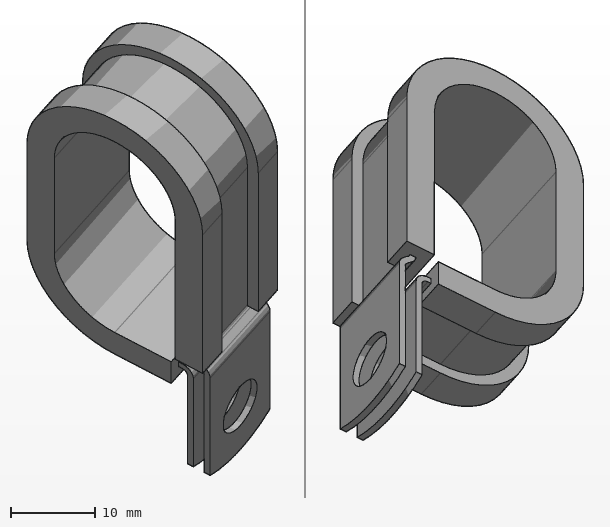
import cadquery as cq
import math

loop_width = 25.19
opening_width = 17.3
arc_center_spacing = 17.42
cushion_depth = 15.75
bottom_leg_setback = 4.5
right_leg_lift = 4.8

outer_radius = loop_width / 2
inner_radius = opening_width / 2
wall = outer_radius - inner_radius
right_x = outer_radius
top_arc_z = arc_center_spacing / 2
bottom_arc_z = -top_arc_z
loop_bottom_z = bottom_arc_z - outer_radius
bottom_leg_end_x = right_x - bottom_leg_setback
right_leg_end_z = loop_bottom_z + right_leg_lift

strap_thickness = 0.85
strap_width = 12.6
tab_drop = 16.71
tab_end_radius = 15.0
bend_inner_radius = 0.8
jog_angle = math.radians(45)
jog_embed = 0.2
hole_diameter = 7.1
hole_height = 7.95

groove_width = 7.6
groove_depth = (wall - strap_thickness) / 2
tab_gap = groove_depth
bend_outer_radius = bend_inner_radius + strap_thickness
strap_outer_radius = outer_radius - groove_depth
strap_inner_radius = strap_outer_radius - strap_thickness
tab_tip_z = loop_bottom_z - tab_drop


def extrude_across(profile, depth):
    """Extrude an XZ profile to a depth centered on Y = 0."""
    return profile.extrude(depth / 2, both=True)


def loop_band(band_outer, band_inner, depth):
    """Open oblong band lying between two radii about the loop's arc centers."""
    outer_diagonal = band_outer * math.sqrt(0.5)
    inner_diagonal = band_inner * math.sqrt(0.5)
    profile = (
        cq.Workplane("XZ")
        .moveTo(band_outer, right_leg_end_z)
        .lineTo(band_outer, top_arc_z)
        .threePointArc((0, top_arc_z + band_outer), (-band_outer, top_arc_z))
        .lineTo(-band_outer, bottom_arc_z)
        .threePointArc((-outer_diagonal, bottom_arc_z - outer_diagonal), (0, bottom_arc_z - band_outer))
        .lineTo(bottom_leg_end_x, bottom_arc_z - band_outer)
        .lineTo(bottom_leg_end_x, bottom_arc_z - band_inner)
        .lineTo(0, bottom_arc_z - band_inner)
        .threePointArc((-inner_diagonal, bottom_arc_z - inner_diagonal), (-band_inner, bottom_arc_z))
        .lineTo(-band_inner, top_arc_z)
        .threePointArc((0, top_arc_z + band_inner), (band_inner, top_arc_z))
        .lineTo(band_inner, right_leg_end_z)
        .close()
    )
    return extrude_across(profile, depth)


def make_cushion():
    """Full-wall loop with a central groove that bares the strap's outer face."""
    groove = loop_band(outer_radius, strap_outer_radius, groove_width)
    return loop_band(outer_radius, inner_radius, cushion_depth).cut(groove)


def make_bent_tab():
    """Tab leaving the bottom leg and bending down through a quarter turn."""
    tab_right_x = right_x - strap_thickness - tab_gap
    tab_left_x = tab_right_x - strap_thickness
    bend_x = tab_left_x - bend_inner_radius
    strap_bottom_z = bottom_arc_z - strap_outer_radius
    strap_top_z = strap_bottom_z + strap_thickness
    bend_z = strap_bottom_z - bend_inner_radius
    outer_diagonal = bend_outer_radius * math.sqrt(0.5)
    inner_diagonal = bend_inner_radius * math.sqrt(0.5)
    profile = (
        cq.Workplane("XZ")
        .moveTo(bottom_leg_end_x, strap_top_z)
        .lineTo(bend_x, strap_top_z)
        .threePointArc((bend_x + outer_diagonal, bend_z + outer_diagonal), (tab_right_x, bend_z))
        .lineTo(tab_right_x, tab_tip_z)
        .lineTo(tab_left_x, tab_tip_z)
        .lineTo(tab_left_x, bend_z)
        .threePointArc((bend_x + inner_diagonal, bend_z + inner_diagonal), (bend_x, strap_bottom_z))
        .lineTo(bottom_leg_end_x, strap_bottom_z)
        .close()
    )
    return extrude_across(profile, strap_width)


def make_jogged_tab():
    """Tab leaving the right leg through an S bend, ending flush with the right side."""
    sine = math.sin(jog_angle)
    bend_shift = 1 - math.cos(jog_angle)
    radius_sum = bend_inner_radius + bend_outer_radius
    slant_run = groove_depth - radius_sum * bend_shift
    jog_start_z = right_leg_end_z + jog_embed
    jog_end_z = jog_start_z - radius_sum * sine - slant_run / math.tan(jog_angle)
    tab_left_x = right_x - strap_thickness

    outer_slant_top = (
        strap_outer_radius + bend_inner_radius * bend_shift,
        jog_start_z - bend_inner_radius * sine,
    )
    outer_slant_bottom = (
        right_x - bend_outer_radius * bend_shift,
        jog_end_z + bend_outer_radius * sine,
    )
    inner_slant_top = (
        strap_inner_radius + bend_outer_radius * bend_shift,
        jog_start_z - bend_outer_radius * sine,
    )
    inner_slant_bottom = (
        tab_left_x - bend_inner_radius * bend_shift,
        jog_end_z + bend_inner_radius * sine,
    )
    profile = (
        cq.Workplane("XZ")
        .moveTo(strap_outer_radius, jog_start_z)
        .radiusArc(outer_slant_top, -bend_inner_radius)
        .lineTo(*outer_slant_bottom)
        .radiusArc((right_x, jog_end_z), bend_outer_radius)
        .lineTo(right_x, tab_tip_z)
        .lineTo(tab_left_x, tab_tip_z)
        .lineTo(tab_left_x, jog_end_z)
        .radiusArc(inner_slant_bottom, -bend_inner_radius)
        .lineTo(*inner_slant_top)
        .radiusArc((strap_inner_radius, jog_start_z), bend_outer_radius)
        .close()
    )
    return extrude_across(profile, strap_width)


def make_tab_outline():
    """Block along X with the rounded tab end and bolt hole, for trimming both tabs."""
    half_width = strap_width / 2
    end_rise = tab_end_radius - math.sqrt(tab_end_radius**2 - half_width**2)
    return (
        cq.Workplane("YZ")
        .moveTo(-half_width, bottom_arc_z)
        .lineTo(-half_width, tab_tip_z + end_rise)
        .threePointArc((0, tab_tip_z), (half_width, tab_tip_z + end_rise))
        .lineTo(half_width, bottom_arc_z)
        .close()
        .moveTo(0, tab_tip_z + hole_height)
        .circle(hole_diameter / 2)
        .extrude(right_x)
    )


strap_loop = loop_band(strap_outer_radius, strap_inner_radius, strap_width)
tabs = make_bent_tab().union(make_jogged_tab()).intersect(make_tab_outline())
result = make_cushion().union(strap_loop).union(tabs)